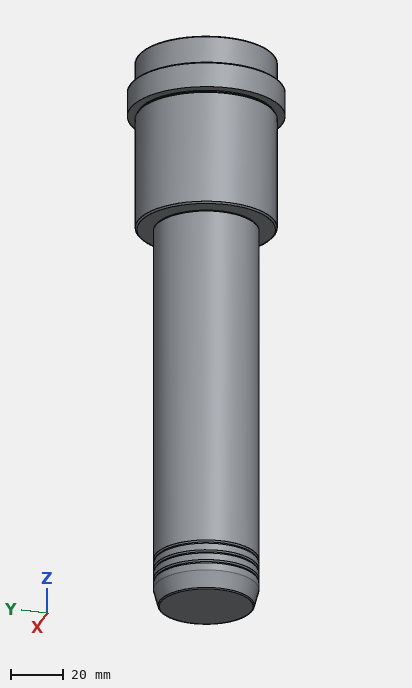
import cadquery as cq

total_length = 223.0
shank_radius = 20.0
head_radius = 27.0
collar_diameter = 60.0
collar_radius = collar_diameter / 2

head_bottom = 154.5
collar_bottom = 201.0
collar_top = 211.2

neck_radius = 26.3
neck_height = 0.5

relief_radius = 19.6
relief_height = 0.5

head_chamfer = 0.7
collar_chamfer = 0.55
disc_chamfer = 0.5

taper_length = 7.0
tip_radius = 18.3
tip_chamfer = 0.5

groove_count = 3
groove_pitch = 4.0
groove_width = 1.3
groove_depth = 0.5
first_groove_height = 10.5


def cylinder(radius, bottom, top):
    """Solid cylinder on the Z axis between two heights."""
    return cq.Workplane("XY").workplane(offset=bottom).circle(radius).extrude(top - bottom)


def tapered_shank():
    """Shank with a conical lead-in, a broken tip edge and a relief under the head."""
    profile = (
        cq.Workplane("XZ")
        .moveTo(0, 0)
        .lineTo(tip_radius - tip_chamfer, 0)
        .lineTo(tip_radius, tip_chamfer)
        .lineTo(shank_radius, taper_length)
        .lineTo(shank_radius, head_bottom - relief_height)
        .lineTo(relief_radius, head_bottom - relief_height)
        .lineTo(relief_radius, head_bottom)
        .lineTo(0, head_bottom)
        .close()
    )
    return profile.revolve(360, (0, 0, 0), (0, 1, 0))


def ring_groove(center_height):
    """V-shaped ring to cut from the shank surface."""
    half_width = groove_width / 2
    profile = (
        cq.Workplane("XZ")
        .moveTo(shank_radius, center_height - half_width)
        .lineTo(shank_radius - groove_depth, center_height)
        .lineTo(shank_radius, center_height + half_width)
        .close()
    )
    return profile.revolve(360, (0, 0, 0), (0, 1, 0))


body_top = collar_bottom - neck_height
neck = cylinder(neck_radius, body_top, collar_bottom)
lower_body = cylinder(head_radius, head_bottom, body_top).edges("%CIRCLE").chamfer(head_chamfer)
collar = cylinder(collar_radius, collar_bottom, collar_top).faces(">Z").edges().chamfer(collar_chamfer)
top_disc = cylinder(head_radius, collar_top, total_length).edges("%CIRCLE").chamfer(disc_chamfer)

result = tapered_shank().union(lower_body).union(neck).union(collar).union(top_disc)

for index in range(groove_count):
    result = result.cut(ring_groove(first_groove_height + index * groove_pitch))